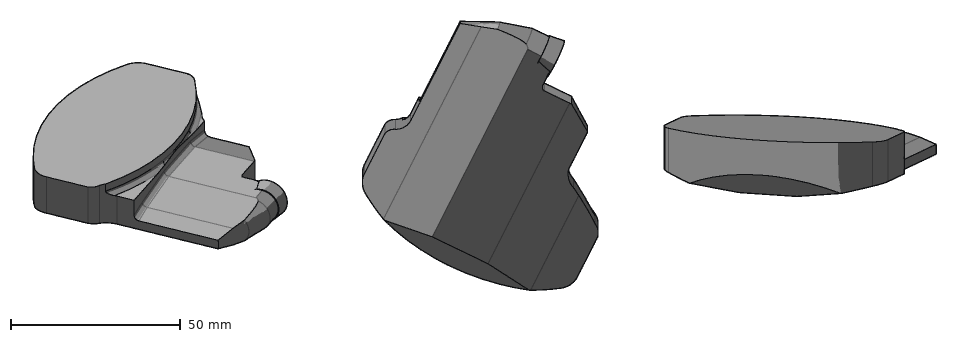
import cadquery as cq
import math

HEAD_HALF_WIDTH = 35.0
SIDE_RADIUS = 61.0
CREST_LENGTH = 40.4
SHELF_Z = -4.05
SHELF_FILLET = 1.5
BACK_CORNER_RADIUS = 6.0
BACK_CHAMFER_TOP = -10.4

MID_Z = -12.3
HALF_THICKNESS = 5.2
FLAT_HALF_WIDTH = 9.15
BEND_Y = 24.2
BEND_HALF_THICKNESS = 2.9
RIM_HALF_THICKNESS = 0.3
BLADE_START_X = 40.5
BLADE_ROOT_FILLET = 1.5
BLADE_FRONT_Y = -30.05
BLADE_BACK_Y = 17.9
BACK_EDGE_END_X = 55.55
STEP_X = 61.25
STEP_TOP_Y = 9.8
STEP_FILLET = 1.2

INSERT_RADIUS = 6.0
INSERT_DEPTH = 4.65
INSERT_TAPER = 7.0
INSERT_X = 76.3 - INSERT_RADIUS
SEAT_Y = -0.3
END_START_X = 62.55

END_STATIONS = [(SEAT_Y, 0.0), (-10.2, 0.0), (-19.6, -2.5), (BLADE_FRONT_Y, -7.5)]

CORNER_START_X = 27.8
FRONT_CORNER_MID = (29.45, -34.25)
FRONT_CORNER_END = (30.5, -32.8)
FRONT_NECK_MID = (32.4, -30.8)
FRONT_NECK_END_X = 34.95
BACK_CORNER_MID = (29.5, 34.2)
BACK_CORNER_END = (31.05, 32.5)
BACK_FLANK_MID = (35.2, 26.9)
BACK_FLANK_END = (38.5, 21.7)
BACK_NECK_MID = (40.3, 19.2)
BACK_NECK_END_X = 43.2

REACH = 91.55
TOLERANCE = 0.8


def side_bow(y):
    """Distance a bowed side falls back from its widest point."""
    return SIDE_RADIUS - math.sqrt(SIDE_RADIUS**2 - y**2)


def outline_block():
    """Full plan outline of head and blade, with a square blade end."""
    corner = (side_bow(HEAD_HALF_WIDTH), HEAD_HALF_WIDTH)
    block = (
        cq.Workplane("XY", origin=(0, 0, -REACH))
        .moveTo(corner[0], -corner[1])
        .lineTo(CORNER_START_X, -HEAD_HALF_WIDTH)
        .threePointArc(FRONT_CORNER_MID, FRONT_CORNER_END)
        .threePointArc(FRONT_NECK_MID, (FRONT_NECK_END_X, BLADE_FRONT_Y))
        .lineTo(REACH, BLADE_FRONT_Y)
        .lineTo(REACH, SEAT_Y)
        .lineTo(STEP_X, SEAT_Y)
        .lineTo(STEP_X, STEP_TOP_Y)
        .lineTo(BACK_EDGE_END_X, BLADE_BACK_Y)
        .lineTo(BACK_NECK_END_X, BLADE_BACK_Y)
        .threePointArc(BACK_NECK_MID, BACK_FLANK_END)
        .threePointArc(BACK_FLANK_MID, BACK_CORNER_END)
        .threePointArc(BACK_CORNER_MID, (CORNER_START_X, HEAD_HALF_WIDTH))
        .lineTo(*corner)
        .threePointArc((0, 0), (corner[0], -corner[1]))
        .close()
        .extrude(REACH)
    )
    for y in (-corner[1], corner[1]):
        block = block.edges(cq.selectors.NearestToPointSelector((corner[0], y, -REACH / 2)))
        block = block.fillet(BACK_CORNER_RADIUS)
    step_root = cq.selectors.NearestToPointSelector((STEP_X, SEAT_Y, -REACH / 2))
    return block.edges(step_root).fillet(STEP_FILLET)


def raised_top():
    """Wide base with the bowed crest standing on it, blended at the shelf."""
    base = cq.Workplane("XY", origin=(0, 0, SHELF_Z)).rect(4 * REACH, 4 * REACH).extrude(-REACH)
    crest = (
        cq.Workplane("XY", origin=(0, 0, SHELF_Z))
        .center(CREST_LENGTH - SIDE_RADIUS, 0)
        .circle(SIDE_RADIUS)
        .extrude(-SHELF_Z)
    )
    shelf = cq.selectors.BoxSelector(
        (-REACH, -REACH, SHELF_Z - TOLERANCE), (REACH, REACH, SHELF_Z + TOLERANCE))
    return base.union(crest).edges("%CIRCLE").edges(shelf).fillet(SHELF_FILLET)


def section_half():
    """Points of one half of the cross-section as (Y, offset from the mid-plane)."""
    right = [
        (FLAT_HALF_WIDTH, HALF_THICKNESS),
        (BEND_Y, BEND_HALF_THICKNESS),
        (HEAD_HALF_WIDTH, RIM_HALF_THICKNESS),
    ]
    left = [(-y, offset) for y, offset in reversed(right)]
    return left + right


def underside_envelope():
    """Everything above the faceted underside and the 45 degree back chamfer."""
    lower = [(y, MID_Z - offset) for y, offset in section_half()]
    body = (
        cq.Workplane("YZ")
        .polyline(lower + [(HEAD_HALF_WIDTH, 0), (-HEAD_HALF_WIDTH, 0)])
        .close()
        .extrude(REACH)
    )
    back_chamfer = (
        cq.Workplane("XZ")
        .polyline([(0, BACK_CHAMFER_TOP), (0, -REACH), (REACH + BACK_CHAMFER_TOP, -REACH)])
        .close()
        .extrude(REACH, both=True)
    )
    return body.cut(back_chamfer)


def space_above_blade():
    """Cutter over the blade, rounded where the blade leaves the head."""
    upper = [(y, MID_Z + offset) for y, offset in section_half()]
    root_half_width = HEAD_HALF_WIDTH - TOLERANCE
    root = cq.selectors.BoxSelector((0, -root_half_width, -REACH), (REACH, root_half_width, 0))
    return (
        cq.Workplane("YZ", origin=(BLADE_START_X, 0, 0))
        .polyline(upper + [(HEAD_HALF_WIDTH, REACH), (-HEAD_HALF_WIDTH, REACH)])
        .close()
        .extrude(REACH)
        .faces("<X")
        .edges(root)
        .fillet(BLADE_ROOT_FILLET)
    )


def end_section(y, shift):
    """Section in the XZ plane with a round end of the blade's half thickness."""
    x = INSERT_X + shift
    return (
        cq.Workplane("XZ", origin=(0, y, MID_Z))
        .moveTo(END_START_X, -HALF_THICKNESS)
        .lineTo(x, -HALF_THICKNESS)
        .threePointArc((x + HALF_THICKNESS, 0), (x, HALF_THICKNESS))
        .lineTo(END_START_X, HALF_THICKNESS)
        .close()
        .val()
    )


def blade_end_envelope():
    """Volume left of the shaped end plus the rounded, slanting blade end."""
    envelope = cq.Workplane("XY").box(END_START_X, 2 * REACH, 2 * REACH, centered=(False, True, True))
    for near, far in zip(END_STATIONS, END_STATIONS[1:]):
        wires = [end_section(*near), end_section(*far)]
        envelope = envelope.union(cq.Workplane(cq.Solid.makeLoft(wires, True)))
    return envelope


def make_insert():
    bottom_radius = INSERT_RADIUS - INSERT_DEPTH * math.tan(math.radians(INSERT_TAPER))
    cone = cq.Solid.makeCone(
        INSERT_RADIUS, bottom_radius, INSERT_DEPTH,
        cq.Vector(INSERT_X, 0, MID_Z), cq.Vector(0, -1, 0))
    return cq.Workplane(cone)


def make_holder(seat_shape):
    return (
        raised_top()
        .intersect(outline_block())
        .intersect(underside_envelope())
        .cut(space_above_blade())
        .intersect(blade_end_envelope())
        .cut(seat_shape)
    )


insert = make_insert()
holder = make_holder(insert)
result = cq.Compound.makeCompound([holder.solids().val(), insert.val()])